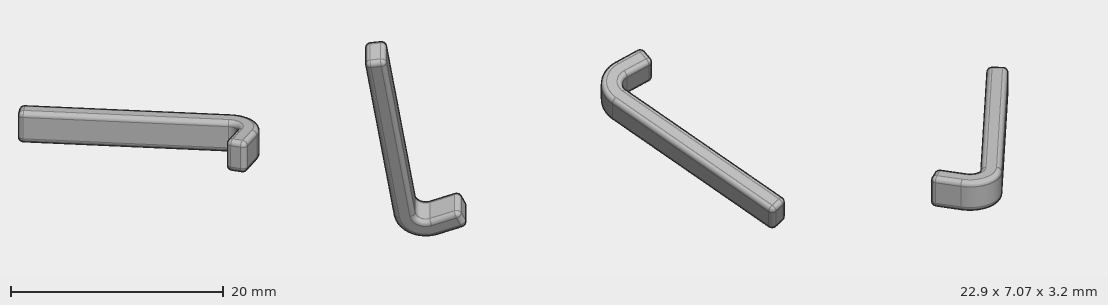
import cadquery as cq
import math

overall_length = 22.88
height = 3.2
bar_width = 2.0
inner_bend_radius = 1.0
short_leg_length = 3.0
long_leg_tilt = math.radians(15)
edge_radius = 0.5

outer_bend_radius = inner_bend_radius + bar_width

corner_center_reach = overall_length - outer_bend_radius - edge_radius
corner_center_offset = outer_bend_radius - edge_radius
long_leg_length = edge_radius + (
    corner_center_reach - corner_center_offset * math.sin(long_leg_tilt)
) / math.cos(long_leg_tilt)


def bend_point(radius, angle):
    """Point on an arc about the bend centre, angle measured from +X."""
    return (radius * math.cos(angle), radius * math.sin(angle))


def long_leg_tip(start):
    """End of a long-leg side that leaves the bend at start."""
    return (
        start[0] - long_leg_length * math.cos(long_leg_tilt),
        start[1] - long_leg_length * math.sin(long_leg_tilt),
    )


bend_angle = math.pi / 2 + long_leg_tilt
outer_tangent = bend_point(outer_bend_radius, bend_angle)
inner_tangent = bend_point(inner_bend_radius, bend_angle)

bar = (
    cq.Workplane("XY")
    .moveTo(outer_bend_radius, -short_leg_length)
    .lineTo(outer_bend_radius, 0)
    .threePointArc(bend_point(outer_bend_radius, bend_angle / 2), outer_tangent)
    .lineTo(*long_leg_tip(outer_tangent))
    .lineTo(*long_leg_tip(inner_tangent))
    .lineTo(*inner_tangent)
    .threePointArc(bend_point(inner_bend_radius, bend_angle / 2), (inner_bend_radius, 0))
    .lineTo(inner_bend_radius, -short_leg_length)
    .close()
    .extrude(height)
)

long_tip_direction = cq.Vector(-math.cos(long_leg_tilt), -math.sin(long_leg_tilt), 0)
long_tip = bar.faces(cq.selectors.DirectionMinMaxSelector(long_tip_direction, True))
long_tip_corners = long_tip.edges("|Z")
short_tip = bar.faces(cq.selectors.DirectionSelector(cq.Vector(0, -1, 0)))
short_tip_corners = short_tip.edges("|Z")
face_outlines = bar.faces("<Z or >Z").edges()
result = face_outlines.add(long_tip_corners).add(short_tip_corners).fillet(edge_radius)